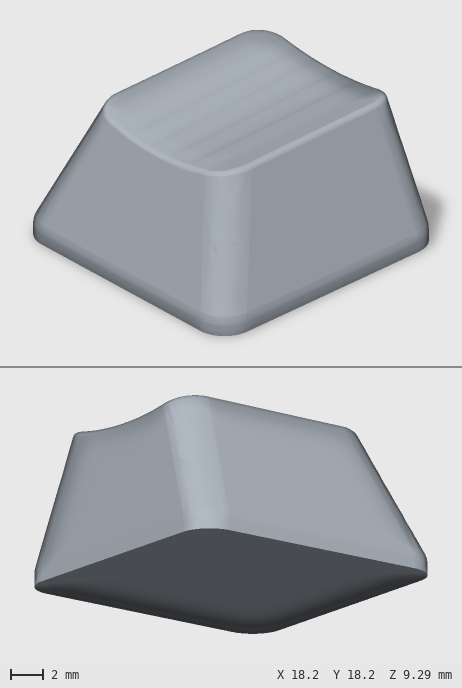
import cadquery as cq
import math

width = 18.16
skirt_height = 0.73
bend_top = 1.27
corner_radius = 2.0

side_lean = 20.5
front_lean = 21.7
back_lean = 5.1
blank_height = 11.26

dish_radius = 21.8
dish_bottom = 8.43
dish_tilt = 1.0
rim_radius = 0.36


def wall_inset(lean, height):
    """Inward offset of a wall: nothing on the skirt, an arc through the bend, then straight."""
    angle = math.radians(lean)
    arc_radius = (bend_top - skirt_height) / math.sin(angle)
    arc_rise = min(height, bend_top) - skirt_height
    arc_inset = arc_radius - math.sqrt(arc_radius**2 - arc_rise**2)
    straight_rise = max(height - bend_top, 0)
    return arc_inset + straight_rise * math.tan(angle)


def rounded_section(height):
    """Level section of the outer walls, a rectangle with rounded corners."""
    side_inset = wall_inset(side_lean, height)
    front_inset = wall_inset(front_lean, height)
    back_inset = wall_inset(back_lean, height)
    center = cq.Vector(0, (front_inset - back_inset) / 2, height)
    return (
        cq.Sketch()
        .rect(width - 2 * side_inset, width - front_inset - back_inset)
        .vertices()
        .fillet(corner_radius)
        .moved(cq.Location(center))
    )


def loft_between(*heights):
    sections = [rounded_section(height) for height in heights]
    return cq.Workplane("XY").placeSketch(*sections).loft(ruled=len(heights) == 2)


def make_dish_cutter():
    return (
        cq.Workplane("XZ")
        .circle(dish_radius)
        .extrude(width, both=True)
        .rotate((0, 0, 0), (1, 0, 0), dish_tilt)
        .translate((0, 0, dish_bottom + dish_radius))
    )


skirt = cq.Workplane("XY").placeSketch(rounded_section(skirt_height)).extrude(-skirt_height)
bend = loft_between(skirt_height, (skirt_height + bend_top) / 2, bend_top)
walls = loft_between(bend_top, blank_height)
body = skirt.union(bend).union(walls)

body = body.cut(make_dish_cutter())
result = body.faces("%CYLINDER").faces(">Z").edges().fillet(rim_radius)